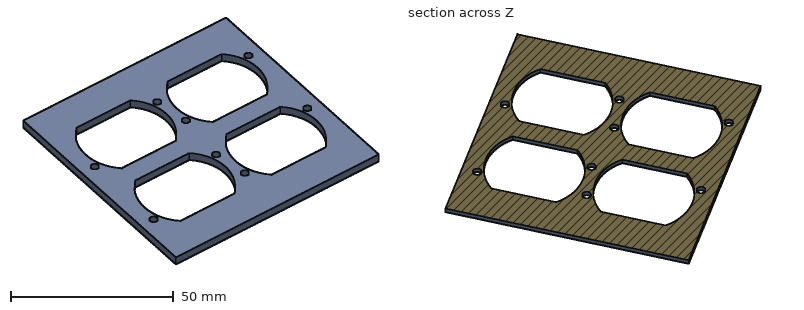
import cadquery as cq

plate_side = 78.0
plate_thickness = 3.0

opening_pitch_x = 30.0
opening_pitch_y = 35.0
opening_diameter = 31.0
opening_width = 23.0

screw_hole_diameter = 2.6
screw_offset_x = 6.0
screw_offset_y = 16.5


def make_opening_cutter():
    """Cylinder trimmed by a box to give two straight sides."""
    cylinder = cq.Workplane("XY").circle(opening_diameter / 2).extrude(plate_thickness)
    trim_box = cq.Workplane("XY").rect(opening_width, opening_diameter).extrude(plate_thickness)
    return cylinder.intersect(trim_box)


def make_screw_hole_cutter():
    """Pair of round pins, upper left and lower right of the opening."""
    centers = [(-screw_offset_x, screw_offset_y), (screw_offset_x, -screw_offset_y)]
    return (
        cq.Workplane("XY")
        .pushPoints(centers)
        .circle(screw_hole_diameter / 2)
        .extrude(plate_thickness)
    )


result = cq.Workplane("XY").rect(plate_side, plate_side).extrude(plate_thickness)

for x in (-opening_pitch_x / 2, opening_pitch_x / 2):
    for y in (-opening_pitch_y / 2, opening_pitch_y / 2):
        result = result.cut(make_opening_cutter().translate((x, y, 0)))
        result = result.cut(make_screw_hole_cutter().translate((x, y, 0)))